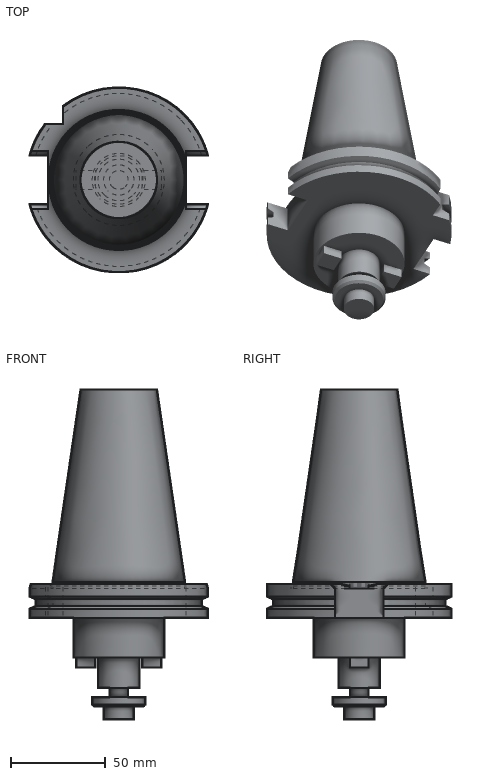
import cadquery as cq

overall_height = 174.1
flange_top = 71.5
flange_bottom = 53.6
hub_bottom = 32.5
key_bottom = 27.3
pilot_bottom = 16.7
washer_top = 11.8
washer_bottom = 6.8

taper_ratio = 7 / 24
gauge_radius = 69.8 / 2
gauge_height = 73.0
gauge_land = 0.5
tip_radius = gauge_radius - taper_ratio * (overall_height - gauge_height) / 2
relief_radius = 69.3 / 2
relief_groove_radius = 35.9
relief_groove_depth = 2.6
relief_groove_chamfer = 1.0

flange_radius = 97.5 / 2
groove_root_radius = 45.6
groove_center = 61.6
groove_root_width = 3.7
groove_mouth_width = 6.6

slot_width = 25.6
slot_chamfer = 2.5
left_slot_floor = -37.5
right_slot_floor = 35.5
notch_corner_x = -29.5
notch_corner_y = 29.6

hub_radius = 48.0 / 2
pilot_radius = 22.0 / 2
stud_radius = 10.0 / 2
washer_radius = 28.0 / 2
washer_chamfer = 1.2
screw_head_radius = 16.0 / 2
key_width = 10.0
key_inner_x = 12.4
key_outer_x = 22.5


def revolve_profile(points):
    """Revolve (radius, height) points around the Z axis."""
    return cq.Workplane("XZ").polyline(points).close().revolve(360, (0, 0), (0, 1))


def make_turned_body():
    return revolve_profile([
        (0, 0),
        (screw_head_radius, 0),
        (screw_head_radius, washer_bottom),
        (washer_radius - washer_chamfer, washer_bottom),
        (washer_radius, washer_bottom + washer_chamfer),
        (washer_radius, washer_top),
        (stud_radius, washer_top),
        (stud_radius, pilot_bottom),
        (pilot_radius, pilot_bottom),
        (pilot_radius, hub_bottom),
        (hub_radius, hub_bottom),
        (hub_radius, flange_bottom),
        (flange_radius, flange_bottom),
        (flange_radius, groove_center - groove_mouth_width / 2),
        (groove_root_radius, groove_center - groove_root_width / 2),
        (groove_root_radius, groove_center + groove_root_width / 2),
        (flange_radius, groove_center + groove_mouth_width / 2),
        (flange_radius, flange_top),
        (relief_groove_radius + relief_groove_chamfer, flange_top),
        (relief_groove_radius, flange_top - relief_groove_chamfer),
        (relief_groove_radius, flange_top - relief_groove_depth),
        (relief_radius, flange_top - relief_groove_depth),
        (relief_radius, gauge_height - gauge_land),
        (gauge_radius, gauge_height - gauge_land),
        (gauge_radius, gauge_height),
        (tip_radius, overall_height),
        (0, overall_height),
    ])


def make_drive_slot(floor_x, outward):
    """Slot cutter running outward (+1 or -1 along X) with chamfered top edges."""
    half_width = slot_width / 2
    mouth_half_width = half_width + slot_chamfer
    return (
        cq.Workplane("YZ", origin=(floor_x, 0, 0))
        .polyline([
            (-half_width, flange_bottom),
            (half_width, flange_bottom),
            (half_width, flange_top - slot_chamfer),
            (mouth_half_width, flange_top),
            (-mouth_half_width, flange_top),
            (-half_width, flange_top - slot_chamfer),
        ])
        .close()
        .extrude(outward * flange_radius)
    )


def make_orientation_notch():
    """Square corner cutter through the flange on the -X, +Y side."""
    return (
        cq.Workplane("XY", origin=(notch_corner_x, notch_corner_y, flange_bottom))
        .rect(-flange_radius, flange_radius, centered=False)
        .extrude(flange_top - flange_bottom)
    )


def make_drive_key(side):
    """Driving key under the hub on the given X side (+1 or -1)."""
    return (
        cq.Workplane("XY", origin=(side * (key_inner_x + key_outer_x) / 2, 0, key_bottom))
        .rect(key_outer_x - key_inner_x, key_width)
        .extrude(hub_bottom - key_bottom)
    )


result = make_turned_body()
result = result.cut(make_drive_slot(left_slot_floor, -1))
result = result.cut(make_drive_slot(right_slot_floor, 1))
result = result.cut(make_orientation_notch())
for key_side in (-1, 1):
    result = result.union(make_drive_key(key_side))